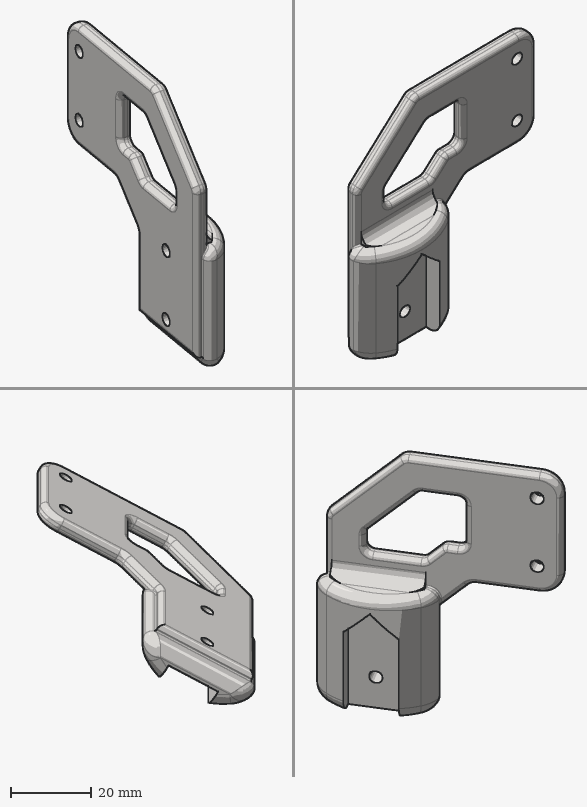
import cadquery as cq
import math

HEIGHT = 73.2

PLATE_THICKNESS = 4.0
PLATE_WIDTH = 60.65
PLATE_BOTTOM = 4.5
FLANGE_BOTTOM = 38.35
STEM_LEFT = 33.5
TOP_CHAMFER = 19.8
INNER_CHAMFER = 10.0
FLANGE_CORNER_RADIUS = 6.0
PLATE_BEND_RADIUS = 3.0
EDGE_ROUND = 1.5

WINDOW_LEFT = 24.95
WINDOW_RIGHT = 50.6
WINDOW_TOP = 63.2
WINDOW_STEP = 48.2
WINDOW_BOTTOM = 43.2
WINDOW_SLOPE_TOP_X = 36.7
WINDOW_SLOPE_STEP_X = 30.45
WINDOW_CORNER_RADIUS = 2.0

GRIP_CENTER_X = 47.05
GRIP_BACK = 13.25
GRIP_FRONT = 2.1
GRIP_BACK_RADIUS = 21.6
GRIP_SIDE_RADIUS = 8.9
GRIP_TOP = 36.0
GRIP_CORNER_ROUND = 2.2
GRIP_TOP_ROUND = 3.0
GRIP_BOTTOM_ROUND = 4.0
WEB_RADIUS = 3.95
CREASE_RADIUS = 0.4

RECESS_WIDTH = 14.2
RECESS_FLOOR = 7.0
RECESS_PEAK = 31.45

HOLE_DIAMETER = 3.45
HOLE_SPACING = 20.05
FLANGE_HOLE_X = 6.5
FLANGE_HOLE_TOP = HEIGHT - 6.95
STEM_HOLE_TOP = 29.1


def extrude_back(points, start, depth):
    """Extrude an (x, z) outline from Y = start towards +Y."""
    return cq.Workplane("XZ", origin=(0, start, 0)).polyline(points).close().extrude(-depth)


def round_corners(body, corners, radius):
    """Round the edges that run along Y through the given (x, z) corners."""
    for x, z in corners:
        edge = cq.selectors.NearestToPointSelector((x, PLATE_THICKNESS / 2, z))
        body = body.edges("|Y").edges(edge).fillet(radius)
    return body


def make_window():
    lower_drop = WINDOW_STEP - WINDOW_BOTTOM
    upper_drop = WINDOW_RIGHT - WINDOW_SLOPE_TOP_X
    points = [
        (WINDOW_LEFT, WINDOW_TOP),
        (WINDOW_SLOPE_TOP_X, WINDOW_TOP),
        (WINDOW_RIGHT, WINDOW_TOP - upper_drop),
        (WINDOW_RIGHT, WINDOW_BOTTOM),
        (WINDOW_SLOPE_STEP_X + lower_drop, WINDOW_BOTTOM),
        (WINDOW_SLOPE_STEP_X, WINDOW_STEP),
        (WINDOW_LEFT, WINDOW_STEP),
    ]
    window = extrude_back(points, 0, PLATE_THICKNESS)
    return window.edges("|Y").fillet(WINDOW_CORNER_RADIUS)


def make_plate():
    flange_corners = [(0, HEIGHT), (0, FLANGE_BOTTOM)]
    bends = [
        (PLATE_WIDTH - TOP_CHAMFER, HEIGHT),
        (PLATE_WIDTH, HEIGHT - TOP_CHAMFER),
        (STEM_LEFT, FLANGE_BOTTOM - INNER_CHAMFER),
        (STEM_LEFT - INNER_CHAMFER, FLANGE_BOTTOM),
    ]
    stem_bottom = [(PLATE_WIDTH, PLATE_BOTTOM), (STEM_LEFT, PLATE_BOTTOM)]
    outline = flange_corners[:1] + bends[:2] + stem_bottom + bends[2:] + flange_corners[1:]
    plate = extrude_back(outline, 0, PLATE_THICKNESS)
    plate = round_corners(plate, flange_corners, FLANGE_CORNER_RADIUS)
    plate = round_corners(plate, bends, PLATE_BEND_RADIUS)
    plate = plate.cut(make_window())
    return plate.faces("<Y or >Y").edges().fillet(EDGE_ROUND)


def make_grip():
    center_y = GRIP_BACK - GRIP_BACK_RADIUS
    radius_gap = GRIP_BACK_RADIUS - GRIP_SIDE_RADIUS
    side_center = math.sqrt(radius_gap**2 - (GRIP_FRONT - center_y) ** 2)
    side_angle = math.asin(side_center / radius_gap)
    blend_x = GRIP_BACK_RADIUS * math.sin(side_angle)
    blend_y = center_y + GRIP_BACK_RADIUS * math.cos(side_angle)
    middle_angle = (side_angle + math.pi / 2) / 2
    mid_x = side_center + GRIP_SIDE_RADIUS * math.sin(middle_angle)
    mid_y = GRIP_FRONT + GRIP_SIDE_RADIUS * math.cos(middle_angle)
    half_width = side_center + GRIP_SIDE_RADIUS
    grip = (
        cq.Workplane("XY", origin=(GRIP_CENTER_X, 0, 0))
        .moveTo(-half_width, GRIP_FRONT)
        .lineTo(half_width, GRIP_FRONT)
        .threePointArc((mid_x, mid_y), (blend_x, blend_y))
        .threePointArc((0, GRIP_BACK), (-blend_x, blend_y))
        .threePointArc((-mid_x, mid_y), (-half_width, GRIP_FRONT))
        .close()
        .extrude(GRIP_TOP)
    )
    grip = grip.faces("<Y").edges("|Z").fillet(GRIP_CORNER_ROUND)
    grip = grip.faces("<Z").edges().fillet(GRIP_BOTTOM_ROUND)
    return grip.faces(">Z").edges().fillet(GRIP_TOP_ROUND)


def make_web():
    """Concave blend between the back of the plate and the flat top of the grip."""
    web_top = GRIP_TOP + WEB_RADIUS
    web_back = PLATE_THICKNESS + WEB_RADIUS
    web_base = GRIP_TOP - GRIP_TOP_ROUND
    plate_middle = PLATE_THICKNESS / 2
    diagonal = WEB_RADIUS * math.sqrt(0.5)
    half_width = PLATE_WIDTH - EDGE_ROUND - GRIP_CENTER_X
    bar = (
        cq.Workplane("YZ", origin=(GRIP_CENTER_X, 0, 0))
        .moveTo(plate_middle, web_base)
        .lineTo(web_back, web_base)
        .lineTo(web_back, GRIP_TOP)
        .threePointArc((web_back - diagonal, web_top - diagonal), (PLATE_THICKNESS, web_top))
        .lineTo(plate_middle, web_top)
        .close()
        .extrude(half_width, both=True)
    )
    inside_rim = (
        cq.Workplane("XY", origin=(GRIP_CENTER_X, GRIP_BACK - GRIP_BACK_RADIUS, web_base))
        .circle(GRIP_BACK_RADIUS - GRIP_TOP_ROUND)
        .extrude(web_top - web_base)
    )
    return bar.intersect(inside_rim)


def make_recess():
    """Channel open at the back and bottom of the grip, closed above by a 45 degree roof."""
    half_width = RECESS_WIDTH / 2
    shoulder = RECESS_PEAK - half_width
    points = [
        (GRIP_CENTER_X - half_width, 0),
        (GRIP_CENTER_X - half_width, shoulder),
        (GRIP_CENTER_X, RECESS_PEAK),
        (GRIP_CENTER_X + half_width, shoulder),
        (GRIP_CENTER_X + half_width, 0),
    ]
    return extrude_back(points, RECESS_FLOOR, GRIP_BACK - RECESS_FLOOR)


def make_holes():
    centers = []
    for x, top in ((FLANGE_HOLE_X, FLANGE_HOLE_TOP), (GRIP_CENTER_X, STEM_HOLE_TOP)):
        centers += [(x, top), (x, top - HOLE_SPACING)]
    return cq.Workplane("XZ").pushPoints(centers).circle(HOLE_DIAMETER / 2).extrude(-GRIP_BACK)


def soften_crease(body):
    """Fillet the inner corner where the plate rises from the front face of the grip."""
    margin = 0.1
    crease = cq.selectors.BoxSelector(
        (STEM_LEFT - margin, GRIP_FRONT - margin, PLATE_BOTTOM - margin),
        (PLATE_WIDTH + margin, GRIP_FRONT + margin, GRIP_TOP),
    )
    return body.edges(crease).fillet(CREASE_RADIUS)


body = make_plate().union(make_grip()).union(make_web())
body = soften_crease(body)
result = body.cut(make_recess()).cut(make_holes())